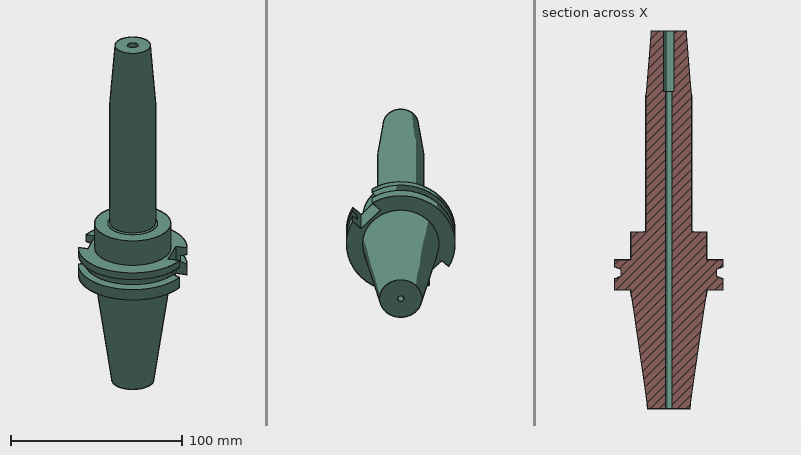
import cadquery as cq
import math

total_height = 220.6
gauge_z = 68.2
flange_bottom_z = 69.3
flange_top_z = 87.2
collar_top_z = 103.3
nose_start_z = 182.7

gauge_radius = 22.3
taper_ratio = 7 / 24
taper_end_radius = gauge_radius - gauge_z * taper_ratio / 2
flange_radius = 31.8
neck_radius = 13.5
nose_tip_radius = 10.4
neck_base_chamfer_width = 1.0
neck_base_chamfer_height = 0.7

groove_center_z = 79.5
groove_floor_width = 4.0
groove_mouth_width = 6.6
groove_floor_radius = 28.0

slot_width = 16.5
left_slot_floor_x = -25.0
right_slot_floor_x = 23.8
pocket_diameter = 10.0
pocket_depth = 6.6

tool_bore_diameter = 6.0
tool_bore_depth = 35.3
through_bore_diameter = 3.5


def turned_body():
    return (
        cq.Workplane("XZ")
        .moveTo(0, 0)
        .lineTo(taper_end_radius, 0)
        .lineTo(gauge_radius, gauge_z)
        .lineTo(gauge_radius, flange_bottom_z)
        .lineTo(flange_radius, flange_bottom_z)
        .lineTo(flange_radius, groove_center_z - groove_mouth_width / 2)
        .lineTo(groove_floor_radius, groove_center_z - groove_floor_width / 2)
        .lineTo(groove_floor_radius, groove_center_z + groove_floor_width / 2)
        .lineTo(flange_radius, groove_center_z + groove_mouth_width / 2)
        .lineTo(flange_radius, flange_top_z)
        .lineTo(gauge_radius, flange_top_z)
        .lineTo(gauge_radius, collar_top_z)
        .lineTo(neck_radius + neck_base_chamfer_width, collar_top_z)
        .lineTo(neck_radius, collar_top_z + neck_base_chamfer_height)
        .lineTo(neck_radius, nose_start_z)
        .lineTo(nose_tip_radius, total_height)
        .lineTo(0, total_height)
        .close()
        .revolve(360, (0, 0, 0), (0, 1, 0))
    )


def drive_slot(floor_x):
    """Cutter for a slot running outward from its flat floor at floor_x."""
    outward_length = math.copysign(flange_radius, floor_x)
    return cq.Workplane("XY").box(
        flange_radius, slot_width, flange_top_z - flange_bottom_z, centered=(True, True, False)
    ).translate((floor_x + outward_length / 2, 0, flange_bottom_z))


def slot_pocket():
    return (
        cq.Workplane("YZ", origin=(left_slot_floor_x, 0, groove_center_z))
        .circle(pocket_diameter / 2)
        .extrude(pocket_depth)
    )


def axial_bore():
    tool_bore = (
        cq.Workplane("XY", origin=(0, 0, total_height))
        .circle(tool_bore_diameter / 2)
        .extrude(-tool_bore_depth)
    )
    through_bore = cq.Workplane("XY").circle(through_bore_diameter / 2).extrude(total_height)
    return tool_bore.union(through_bore)


result = turned_body()
for floor_x in (left_slot_floor_x, right_slot_floor_x):
    result = result.cut(drive_slot(floor_x))
result = result.cut(slot_pocket()).cut(axial_bore())